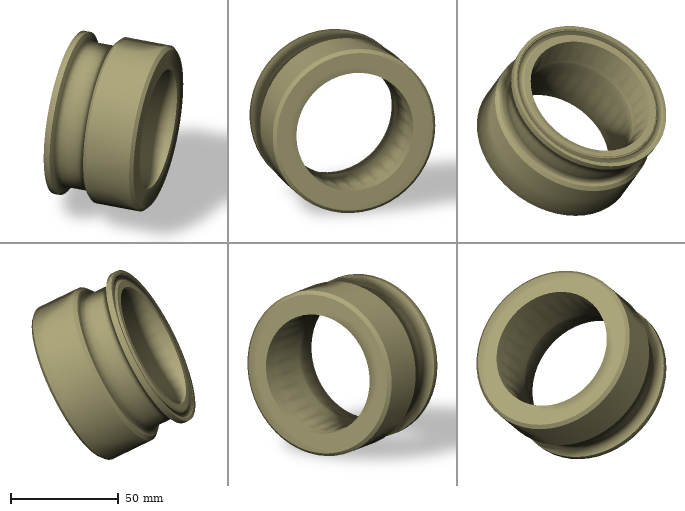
import cadquery as cq
import math

length = 43.6

flange_radius = 77.4 / 2
flange_rim = 2.9
flange_back_angle = 20

neck_radius = 68.8 / 2
neck_fillet = 1.6

body_radius = 78.75 / 2
body_start = 19.0
body_chamfer = 1.6

groove_radius = 35.3
groove_depth = 1.6
groove_bottom_radius = 1.2
groove_wall_angle = 20
groove_edge_fillet = 0.6

inlet_radius = 60.15 / 2
throat_radius = 54.9 / 2
throat_start = 14.2
throat_end = 16.7
throat_fillet = 1.6
outlet_taper = 1 / 16


def revolve_about_x(profile):
    """Revolve a profile drawn as (x, radius) about the X axis."""
    return profile.revolve(360, (0, 0, 0), (1, 0, 0))


def tangent_length(fillet_radius, turn):
    """Distance from a corner to the tangent points of its fillet; turn is the change of direction."""
    return fillet_radius * math.tan(turn / 2)


def make_outside():
    flange_back = flange_rim + (flange_radius - neck_radius) * math.tan(math.radians(flange_back_angle))
    chamfer_radius = body_radius - body_chamfer

    turn = math.radians(90 - flange_back_angle)
    tangent = tangent_length(neck_fillet, turn)
    cone_end = (flange_back - tangent * math.cos(turn), neck_radius + tangent * math.sin(turn))

    profile = (
        cq.Workplane("XY")
        .moveTo(0, 0)
        .lineTo(0, flange_radius)
        .lineTo(flange_rim, flange_radius)
        .lineTo(*cone_end)
        .radiusArc((flange_back + tangent, neck_radius), -neck_fillet)
        .lineTo(body_start - neck_fillet, neck_radius)
        .radiusArc((body_start, neck_radius + neck_fillet), -neck_fillet)
        .lineTo(body_start, chamfer_radius)
        .lineTo(body_start + body_chamfer, body_radius)
        .lineTo(length - body_chamfer, body_radius)
        .lineTo(length, chamfer_radius)
        .lineTo(length, 0)
        .close()
    )
    return revolve_about_x(profile)


def make_bore():
    outlet_radius = throat_radius + (length - throat_end) * outlet_taper / 2

    inlet_angle = math.atan((inlet_radius - throat_radius) / throat_start)
    tangent = tangent_length(throat_fillet, inlet_angle)
    taper_end = (
        throat_start - tangent * math.cos(inlet_angle),
        throat_radius + tangent * math.sin(inlet_angle),
    )

    profile = (
        cq.Workplane("XY")
        .moveTo(0, 0)
        .lineTo(0, inlet_radius)
        .lineTo(*taper_end)
        .radiusArc((throat_start + tangent, throat_radius), -throat_fillet)
        .lineTo(throat_end, throat_radius)
        .lineTo(length, outlet_radius)
        .lineTo(length, 0)
        .close()
    )
    return revolve_about_x(profile)


def make_groove():
    """Ring groove with a round bottom, sloped walls and rounded edges at the flange face."""
    wall = math.radians(groove_wall_angle)
    center_depth = groove_depth - groove_bottom_radius
    wall_bottom_depth = center_depth + groove_bottom_radius * math.sin(wall)
    wall_bottom_offset = groove_bottom_radius * math.cos(wall)

    corner_offset = wall_bottom_offset + wall_bottom_depth * math.tan(wall)
    tangent = tangent_length(groove_edge_fillet, math.pi / 2 - wall)
    wall_top_depth = tangent * math.cos(wall)
    wall_top_offset = corner_offset - tangent * math.sin(wall)
    face_offset = corner_offset + tangent

    profile = (
        cq.Workplane("XY")
        .moveTo(0, groove_radius - face_offset)
        .radiusArc((wall_top_depth, groove_radius - wall_top_offset), -groove_edge_fillet)
        .lineTo(wall_bottom_depth, groove_radius - wall_bottom_offset)
        .threePointArc((groove_depth, groove_radius), (wall_bottom_depth, groove_radius + wall_bottom_offset))
        .lineTo(wall_top_depth, groove_radius + wall_top_offset)
        .radiusArc((0, groove_radius + face_offset), -groove_edge_fillet)
        .close()
    )
    return revolve_about_x(profile)


result = make_outside().cut(make_bore()).cut(make_groove())